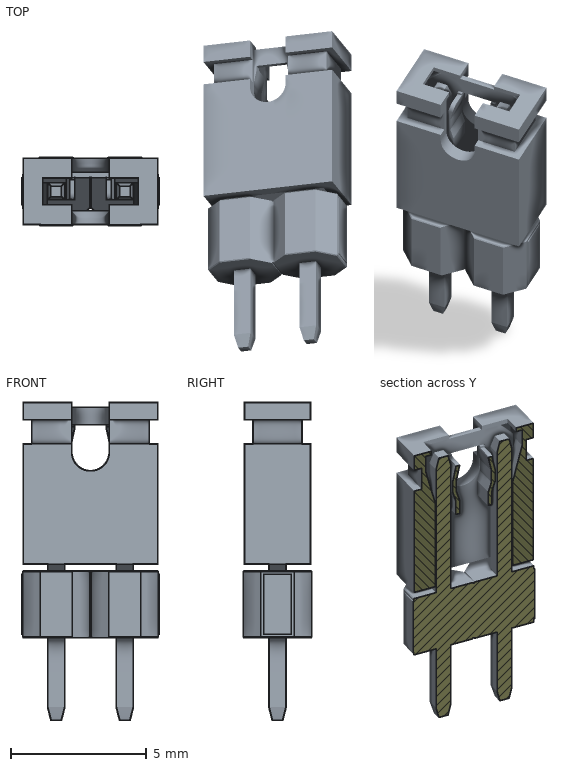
import cadquery as cq


pitch = 2.54
pin_width = 0.64
pin_tail = 3.05
pin_tip_height = 0.49
pin_tip_width = 0.39
block_length = 2.48
block_depth = 2.54
block_height = 2.48
block_corner = 0.65
block_edge = 0.035
bar_length = 2 * pitch
bar_depth = 1.0
bar_inset = 0.13

jumper_gap = 0.25
jumper_height = 5.99
jumper_length = 4.98
jumper_depth = 2.46
cap_height = 0.65
neck_height = 0.89
neck_length = 4.36
neck_depth = 1.82
slot_width = 1.38
slot_depth = 2.53
lid_height = 0.18
opening_length = 3.52
opening_depth = 0.98
hollow_length = 4.0
hollow_depth = 1.42
jumper_bottom = block_height + jumper_gap
jumper_top = jumper_bottom + jumper_height
hollow_top = jumper_top - lid_height
hollow_end = hollow_length / 2
hollow_back = hollow_depth / 2
pin_drop = 0.38
pin_top = jumper_top - pin_drop

plate_thickness = 0.2
plate_front = hollow_back - plate_thickness
plate_height = 2.9
plate_corner = 0.55
bridge_height = 0.65
leg_inner = 0.8
leaf_thickness = 0.17
leaf_top = hollow_top - bridge_height
leaf_bottom = hollow_top - plate_height
leaf_root = 0.42
leaf_front = -0.31
leaf_step = 0.08
leaf_corner = 0.25
leaf_inner = 0.59
leaf_bend = 0.13
bend_start = 0.15
contact_start = 0.75
contact_end = 1.25
bend_end = 1.65
ramp_foot = 1.6
ramp_drop = 0.65
ramp_height = 1.5
ramp_back = 0.32


def box(length, depth, height, bottom, y=0):
    """Box centred on X, and on the given Y, standing on the given Z."""
    return (
        cq.Workplane("XY")
        .box(length, depth, height, centered=(True, True, False))
        .translate((0, y, bottom))
    )


def both_sides(shape):
    """The shape together with its mirror image on the other side of X = 0."""
    return shape.mirror("YZ").union(shape)


def pin_point(base, rise):
    """Tapered pin end from the base up, or down for a negative rise."""
    return (
        cq.Workplane("XY", origin=(0, 0, base))
        .rect(pin_width, pin_width)
        .workplane(offset=rise)
        .rect(pin_tip_width, pin_tip_width)
        .loft(ruled=True)
    )


def make_pin():
    """Square pin on the +X side with a tapered point at each end."""
    shaft_bottom = pin_tip_height - pin_tail
    shaft_top = pin_top - pin_tip_height
    shaft = box(pin_width, pin_width, shaft_top - shaft_bottom, shaft_bottom)
    pin = shaft.union(pin_point(shaft_bottom, -pin_tip_height)).union(pin_point(shaft_top, pin_tip_height))
    return pin.translate((pitch / 2, 0, 0))


def make_block():
    """Octagonal block on the +X side, with chamfers on its front, back and outer top and bottom edges."""
    outer_half = cq.selectors.BoxSelector(
        (-block_edge, -block_depth, -block_height),
        (block_length, block_depth, 2 * block_height),
    )
    return (
        box(block_length, block_depth, block_height, 0)
        .edges("|Z")
        .chamfer(block_corner)
        .faces("<Z or >Z")
        .edges(outer_half)
        .chamfer(block_edge)
        .translate((pitch / 2, 0, 0))
    )


def make_header():
    """Two blocks joined by a bar and a web that fills the gap between them, with a pin through each."""
    bar = box(bar_length, bar_depth, block_height - 2 * bar_inset, bar_inset)
    web_length = pitch - block_length
    web_depth = block_depth - 2 * block_corner
    web = box(web_length, web_depth, block_height - 2 * block_edge, block_edge)
    return bar.union(web).union(both_sides(make_block().union(make_pin())))


def make_housing():
    """Jumper housing, hollow below its lid."""
    neck_top = jumper_top - cap_height
    neck_bottom = neck_top - neck_height
    housing = box(jumper_length, jumper_depth, neck_bottom - jumper_bottom, jumper_bottom)
    housing = housing.union(box(neck_length, neck_depth, neck_height, neck_bottom))
    housing = housing.union(box(jumper_length, jumper_depth, cap_height, neck_top))

    housing = housing.cut(box(hollow_length, hollow_depth, hollow_top - jumper_bottom, jumper_bottom))
    housing = housing.cut(box(opening_length, opening_depth, lid_height, hollow_top))

    slot_radius = slot_width / 2
    slot_centre = jumper_top - slot_depth + slot_radius
    slot = box(slot_width, jumper_depth, jumper_top - slot_centre, slot_centre)
    slot_end = (
        cq.Workplane("XZ", origin=(0, 0, slot_centre))
        .circle(slot_radius)
        .extrude(jumper_depth / 2, both=True)
    )
    return housing.cut(slot).cut(slot_end)


def make_ramp():
    """Ramp on the +X end wall of the hollow that leads down to the pin."""
    top = hollow_top - ramp_drop
    return (
        cq.Workplane("XZ", origin=(0, ramp_back, 0))
        .moveTo(hollow_end, top)
        .lineTo(ramp_foot, top - ramp_height)
        .lineTo(ramp_foot, jumper_bottom)
        .lineTo(hollow_end, jumper_bottom)
        .close()
        .extrude(ramp_back + hollow_back)
    )


def make_leaf():
    """Contact leaf folded off the +X leg, with a bend that reaches towards the pin."""
    contact = leaf_inner + leaf_bend
    inner_face = [
        (leaf_inner, leaf_top),
        (leaf_inner, leaf_top - bend_start),
        (contact, leaf_top - contact_start),
        (contact, leaf_top - contact_end),
        (leaf_inner, leaf_top - bend_end),
        (leaf_inner, leaf_bottom),
    ]
    outer_face = [(x + leaf_thickness, z) for x, z in reversed(inner_face)]
    leaf = (
        cq.Workplane("XZ", origin=(0, hollow_back, 0))
        .polyline(inner_face + outer_face)
        .close()
        .extrude(hollow_back - leaf_front)
    )
    step_depth = leaf_root - leaf_front
    step = box(hollow_length, step_depth, leaf_step, leaf_top - leaf_step, leaf_front + step_depth / 2)
    return leaf.cut(step).faces("<Y").edges(">Z").fillet(leaf_corner)


def make_plate():
    """Back plate of the clip: two legs joined by a bridge across the slot."""
    plate_middle = plate_front + plate_thickness / 2
    plate = (
        box(hollow_length, plate_thickness, plate_height, leaf_bottom, plate_middle)
        .edges("|Y and >Z")
        .chamfer(plate_corner)
    )
    gap = box(2 * leg_inner, plate_thickness, plate_height - bridge_height, leaf_bottom, plate_middle)
    return plate.cut(gap)


def make_jumper():
    """Housing and its contact clip."""
    sides = both_sides(make_leaf().union(make_ramp()))
    return make_housing().union(make_plate()).union(sides)


header = make_header()
jumper = make_jumper()

result = cq.Compound.makeCompound([header.val(), jumper.val()])